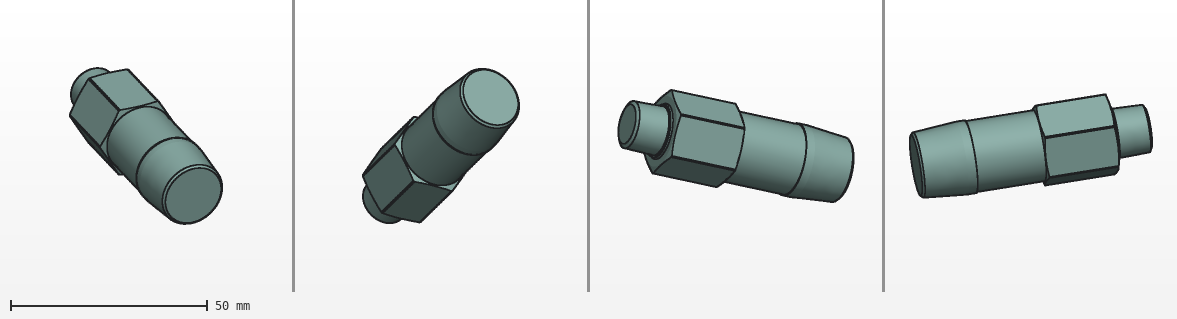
import cadquery as cq
import math

total_length = 60.3
end_chamfer_length = 0.6
tip_length = 8.75
neck_rim_length = 0.3
hex_start = 9.45
hex_end = 28.4
collar_start = 46.2
collar_end = 48.55

tip_face_radius = 5.1
tip_front_radius = 6.15
tip_back_radius = 6.4
neck_rim_radius = 6.9
neck_base_radius = 7.25

across_flats = 19.05
across_corners = 21.75
bevel_radius = 9.15
bevel_angle = 15.0

body_radius = bevel_radius
collar_radius = 9.4
tail_radius = 8.45
tail_face_radius = 7.85


def revolve_profile(points):
    """Revolve a polyline of (x, radius) points about the X axis."""
    start_x = points[0][0]
    end_x = points[-1][0]
    outline = [(start_x, 0), *points, (end_x, 0)]
    return cq.Workplane("XY").polyline(outline).close().revolve(360, (0, 0, 0), (1, 0, 0))


def make_tip():
    rim_end = tip_length + neck_rim_length
    return revolve_profile([
        (0, tip_face_radius),
        (end_chamfer_length, tip_front_radius),
        (tip_length, tip_back_radius),
        (tip_length, neck_rim_radius),
        (rim_end, neck_rim_radius),
        (hex_start, neck_base_radius),
    ])


def make_hexagon():
    sharp_corners = across_flats / math.cos(math.radians(30))
    prism = (
        cq.Workplane("YZ", origin=(hex_start, 0, 0))
        .polygon(6, sharp_corners)
        .extrude(hex_end - hex_start)
    )
    corner_radius = across_corners / 2
    bevel_length = (corner_radius - bevel_radius) * math.tan(math.radians(bevel_angle))
    turned_envelope = revolve_profile([
        (hex_start, bevel_radius),
        (hex_start + bevel_length, corner_radius),
        (hex_end - bevel_length, corner_radius),
        (hex_end, bevel_radius),
    ])
    return prism.intersect(turned_envelope)


def make_body():
    return revolve_profile([
        (hex_end, body_radius),
        (collar_start, body_radius),
        (collar_start, collar_radius),
        (collar_end, collar_radius),
        (total_length - end_chamfer_length, tail_radius),
        (total_length, tail_face_radius),
    ])


result = make_tip().union(make_hexagon()).union(make_body())